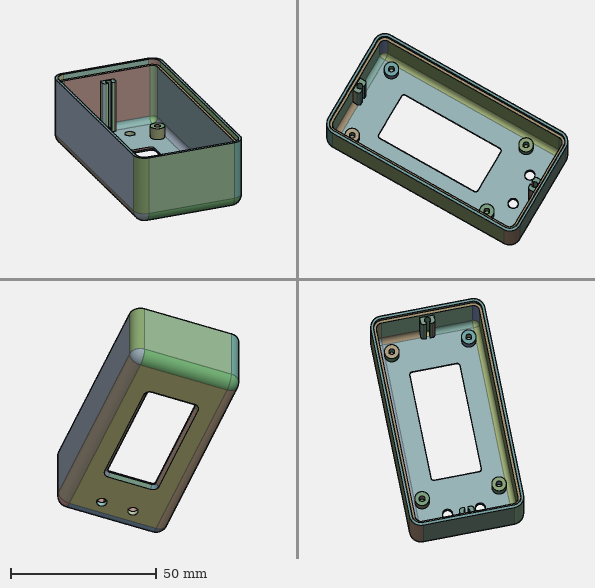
import cadquery as cq

length = 76.0
width = 40.0
height = 25.0
corner_radius = 4.0
wall = 2.0
floor = 1.9
inner_radius = corner_radius - wall

rim_wall = 1.0
rim_depth = 2.0

window_length = 39.4
window_width = 17.55
window_x = 3.0
window_radius = 1.0
window_bevel = 1.2

button_diameter = 3.5
button_x = -29.5
button_spacing = 11.5

post_diameter = 5.0
pilot_diameter = 2.0
post_height = 4.1
post_left_x = -23.5
post_right_x = 29.95
post_spacing = 27.0

pillar_width = 5.0
pillar_reach = 2.7
pillar_radius = 1.0
pillar_top = 20.45
pillar_hole_inset = 1.3
pillar_slot_width = 1.2


def rounded_block(x_size, y_size, z_size, radius, z_bottom):
    """Upright block with rounded vertical edges, centred on the Z axis."""
    block = cq.Workplane("XY").workplane(offset=z_bottom).rect(x_size, y_size).extrude(z_size)
    return block.edges("|Z").fillet(radius)


def make_cavity():
    """Inside space of the box, rounded where the walls meet the floor."""
    cavity = rounded_block(length - 2 * wall, width - 2 * wall, height - floor, inner_radius, floor)
    return cavity.faces("<Z").edges().fillet(inner_radius)


def make_shell():
    """Open box with rounded outer edges and a stepped rim."""
    body = rounded_block(length, width, height, corner_radius, 0)
    body = body.faces("<Z").edges().fillet(corner_radius)
    rim_recess = rounded_block(
        length - 2 * rim_wall,
        width - 2 * rim_wall,
        rim_depth,
        corner_radius - rim_wall,
        height - rim_depth,
    )
    return body.cut(make_cavity()).cut(rim_recess)


def make_posts():
    """Four tubular screw posts."""
    corners = [(x, side * post_spacing / 2) for x in (post_left_x, post_right_x) for side in (-1, 1)]
    return (
        cq.Workplane("XY")
        .workplane(offset=floor)
        .pushPoints(corners)
        .circle(post_diameter / 2)
        .circle(pilot_diameter / 2)
        .extrude(post_height)
    )


def make_left_pillar():
    """Pillar on the -X wall with a screw hole open to the inside through a slot."""
    wall_x = wall - length / 2
    hole_x = wall_x + pillar_hole_inset
    slot_length = pillar_reach - pillar_hole_inset
    pillar = (
        cq.Workplane("XY")
        .center(wall_x + pillar_reach / 2, 0)
        .rect(pillar_reach, pillar_width)
        .extrude(pillar_top)
        .edges("|Z and >X")
        .fillet(pillar_radius)
    )
    hole = cq.Workplane("XY").center(hole_x, 0).circle(pilot_diameter / 2).extrude(pillar_top)
    slot = (
        cq.Workplane("XY")
        .center(hole_x + slot_length / 2, 0)
        .rect(slot_length, pillar_slot_width)
        .extrude(pillar_top)
    )
    return pillar.cut(hole).cut(slot).intersect(make_cavity())


def make_window():
    """Rounded window through the floor, bevelled at 45 degrees towards the outside."""
    opening = rounded_block(window_length, window_width, floor, window_radius, 0)
    bevel_outline = (
        cq.Sketch()
        .rect(window_length + 2 * window_bevel, window_width + 2 * window_bevel)
        .vertices()
        .fillet(window_radius + window_bevel)
    )
    bevel = cq.Workplane("XY").placeSketch(bevel_outline).extrude(window_bevel, taper=45)
    return opening.union(bevel).translate((window_x, 0, 0))


def make_button_holes():
    """Pair of round holes through the floor."""
    return (
        cq.Workplane("XY")
        .center(button_x, 0)
        .rarray(0.75, button_spacing, 1, 2)
        .circle(button_diameter / 2)
        .extrude(floor)
    )


left_pillar = make_left_pillar()
right_pillar = left_pillar.mirror("YZ")

result = (
    make_shell()
    .cut(make_window())
    .cut(make_button_holes())
    .union(make_posts())
    .union(left_pillar)
    .union(right_pillar)
    .translate((0, 0, -height / 2))
)